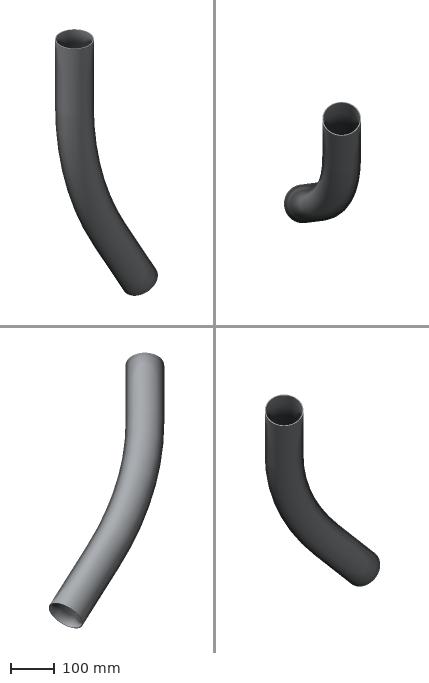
import cadquery as cq
import math

overall_height = 735.0
outer_diameter = 89.0
inner_diameter = 84.5
leg_length = 178.0
bend_angle = 30.0

sin_bend = math.sin(math.radians(bend_angle))
cos_bend = math.cos(math.radians(bend_angle))
rim_drop = outer_diameter / 2 * sin_bend
bend_radius = (overall_height - leg_length * (1 + cos_bend) - rim_drop) / sin_bend


def bend_point(angle):
    """Centreline point (Y, Z) on the bend, at an angle in degrees from its upper end."""
    turn = math.radians(angle)
    y = bend_radius * (1 - math.cos(turn))
    z = -leg_length - bend_radius * math.sin(turn)
    return y, z


bend_end = bend_point(bend_angle)
lower_end = (bend_end[0] + leg_length * sin_bend, bend_end[1] - leg_length * cos_bend)
centreline = (
    cq.Workplane("YZ")
    .moveTo(0, 0)
    .lineTo(0, -leg_length)
    .threePointArc(bend_point(bend_angle / 2), bend_end)
    .lineTo(*lower_end)
)

result = (
    cq.Workplane("XY")
    .circle(outer_diameter / 2)
    .circle(inner_diameter / 2)
    .sweep(centreline)
)